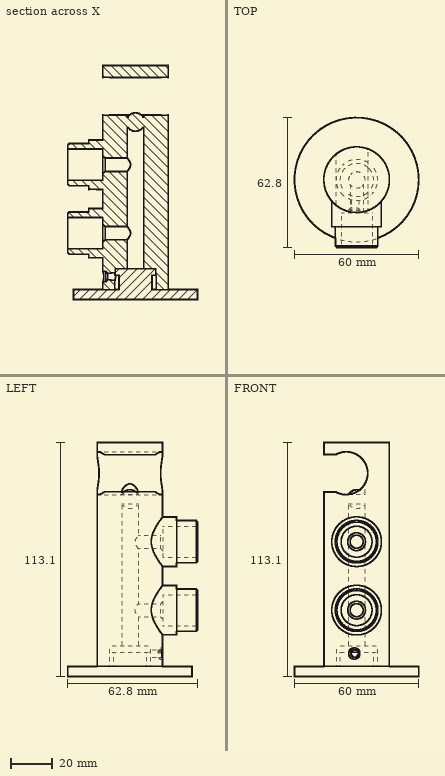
import cadquery as cq

Y_DIRECTION = cq.Vector(0, 1, 0)

total_height = 113.1
total_depth = 62.8

flange_diameter = 60.0
flange_radius = flange_diameter / 2
flange_thickness = 5.0
spigot_radius = 10.0
spigot_neck_radius = 8.0
spigot_neck_top = 11.8
spigot_top = 15.0

column_radius = 15.8
duct_radius = 4.0

hook_x = -5.0
hook_z = 98.2
hook_radius = 10.3
hook_mouth_height = 17.9

ball_radius = 4.5
ball_top = 90.3
ball_z = ball_top - ball_radius

nozzle_heights = (32.1, 65.1)
collar_radius = 12.0
collar_reach = 22.6
nozzle_radius = 10.3
nozzle_reach = total_depth - flange_radius
nozzle_chamfer = 0.8
nozzle_bore_radius = 7.5
nozzle_bore_floor = column_radius
port_radius = 3.2
port_countersink_radius = 4.3

screw_angle = -4.3
screw_z = 11.2
screw_recess_radius = 2.7
screw_recess_depth = 1.4
screw_radius = 1.8


def cylinder_y(radius, y_start, y_end, x=0, z=0):
    """Cylinder along Y between two Y positions."""
    start = cq.Vector(x, y_start, z)
    return cq.Workplane(cq.Solid.makeCylinder(radius, y_end - y_start, start, Y_DIRECTION))


def cone_y(start_radius, end_radius, y_start, z):
    """45 degree cone along Y, narrowing from start_radius toward +Y."""
    length = start_radius - end_radius
    start = cq.Vector(0, y_start, z)
    return cq.Workplane(cq.Solid.makeCone(start_radius, end_radius, length, start, Y_DIRECTION))


def cylinder_z(radius, z_start, z_end):
    """Cylinder on the column axis between two heights."""
    return cq.Workplane("XY").workplane(offset=z_start).circle(radius).extrude(z_end - z_start)


def make_base():
    """Flange with a necked spigot whose wider head sits above the neck."""
    flange = cylinder_z(flange_radius, 0, flange_thickness)
    neck = cylinder_z(spigot_neck_radius, flange_thickness, spigot_neck_top)
    head = cylinder_z(spigot_radius, spigot_neck_top, spigot_top)
    return flange.union(neck).union(head)


def make_hook_cut():
    """Round seat with a flat-sided mouth that opens toward -X."""
    seat = cylinder_y(hook_radius, -column_radius, column_radius, hook_x, hook_z)
    mouth_length = column_radius + hook_x
    mouth = (
        cq.Workplane("XY")
        .box(mouth_length, 2 * column_radius, hook_mouth_height)
        .translate((hook_x - mouth_length / 2, 0, hook_z))
    )
    return seat.union(mouth)


def make_nozzle(z):
    """Stepped outside of one nozzle, rooted on the column axis."""
    collar = cylinder_y(collar_radius, -collar_reach, 0, z=z)
    tip = cylinder_y(nozzle_radius, -nozzle_reach, -collar_reach, z=z).faces("<Y").chamfer(nozzle_chamfer)
    return collar.union(tip)


def make_nozzle_passage(z):
    """Wide bore, countersunk port and the narrow port reaching the duct."""
    bore = cylinder_y(nozzle_bore_radius, -nozzle_reach, -nozzle_bore_floor, z=z)
    countersink = cone_y(port_countersink_radius, port_radius, -nozzle_bore_floor, z=z)
    port = cylinder_y(port_radius, -nozzle_bore_floor, 0, z=z)
    return bore.union(countersink).union(port)


def make_screw_hole():
    """Radial hole through the column wall: recess, cone, then a narrow hole to the socket."""
    recess_floor = screw_recess_depth - column_radius
    recess = cylinder_y(screw_recess_radius, -column_radius, recess_floor, z=screw_z)
    cone = cone_y(screw_recess_radius, screw_radius, recess_floor, z=screw_z)
    shank = cylinder_y(screw_radius, recess_floor, -spigot_neck_radius, z=screw_z)
    return recess.union(cone).union(shank).rotate((0, 0, 0), (0, 0, 1), screw_angle)


def make_column():
    """Column with hook, nozzles, duct, seated ball and the socket for the spigot."""
    column = cylinder_z(column_radius, flange_thickness, total_height)
    for z in nozzle_heights:
        column = column.union(make_nozzle(z))
    column = column.cut(make_hook_cut())
    column = column.cut(cylinder_z(duct_radius, spigot_top, hook_z))
    column = column.union(cq.Workplane("XY").sphere(ball_radius).translate((0, 0, ball_z)))
    for z in nozzle_heights:
        column = column.cut(make_nozzle_passage(z))
    column = column.cut(cylinder_z(spigot_radius, flange_thickness, spigot_top))
    return column.cut(make_screw_hole())


base = make_base()
column = make_column()
result = cq.Compound.makeCompound([base.val(), column.val()])